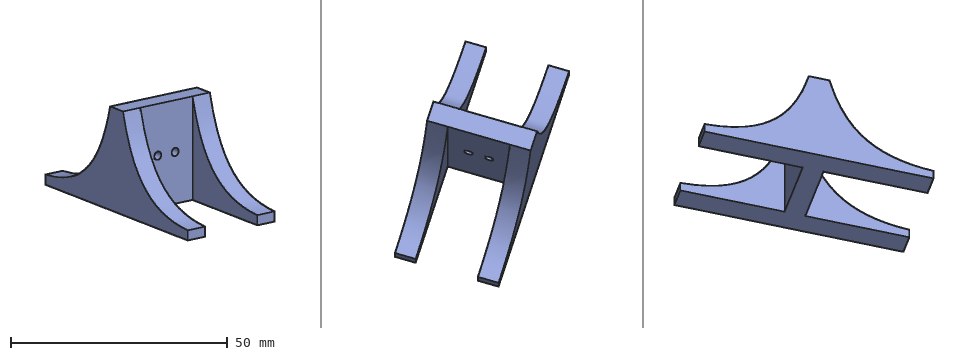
import cadquery as cq

length = 55.0
width = 25.0
height = 25.0

wall = 5.0
foot_height = 2.5

upper_pull = (3.25, 12.4)
lower_pull = (8.9, 3.2)

hole_diameter = 2.0
hole_spacing = 5.0


def leg_edge(side):
    """Control points of one concave edge, from the plate top to the toe."""
    face = wall / 2
    return [
        (side * face, height),
        (side * (face + upper_pull[0]), upper_pull[1]),
        (side * (face + lower_pull[0]), lower_pull[1]),
        (side * length / 2, foot_height),
    ]


def leg(y_center):
    """Flared leg reaching out on both sides of the plate."""
    left_edge = leg_edge(-1)
    right_edge = leg_edge(1)
    return (
        cq.Workplane("XZ", origin=(0, y_center + wall / 2, 0))
        .moveTo(*left_edge[0])
        .lineTo(*right_edge[0])
        .bezier(right_edge, includeCurrent=False)
        .lineTo(length / 2, 0)
        .lineTo(-length / 2, 0)
        .lineTo(*left_edge[-1])
        .bezier(left_edge[::-1], includeCurrent=False)
        .close()
        .extrude(wall)
    )


plate = cq.Workplane("XY").box(wall, width, height, centered=(True, True, False))

leg_offset = (width - wall) / 2
body = plate.union(leg(-leg_offset)).union(leg(leg_offset))

holes = (
    cq.Workplane("YZ", origin=(-wall / 2, 0, height / 2))
    .pushPoints([(-hole_spacing / 2, 0), (hole_spacing / 2, 0)])
    .circle(hole_diameter / 2)
    .extrude(wall)
)

result = body.cut(holes)